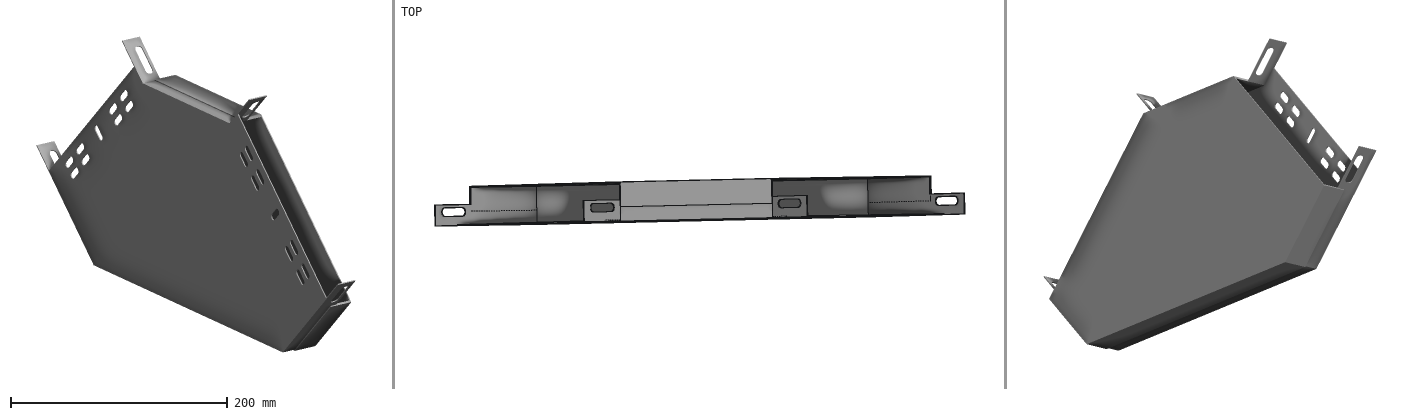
import cadquery as cq
import math

TRAY_WIDTH = 201.0
TIP_SPAN = 490.5
OUTER_LEG = 102.0
TOTAL_DEPTH = 36.5
SHEET = 1.05
BEND_ANGLE = 45.0

TAB_REACH = 27.5
TAB_HEIGHT = 19.5
TAB_SLOT_LENGTH = 30.0
TAB_SLOT_WIDTH = 8.0
TAB_SLOT_FROM_TIP = 23.5
TAB_SLOT_HEIGHT = 13.0

FLOOR_SLOT_LENGTH = 15.5
FLOOR_SLOT_WIDTH = 6.5
FIRST_ROW = 11.5
ROW_PITCH = 12.0
CENTRE_SLOT_ROW = 15.5
INNER_SLOT_OFFSET = 38.5
SLOT_PITCH = 25.5

FLANGE_FRONT = 13.2

TILT_X = -0.4
TILT_Y = -1.6
TILT_Z = 1.3

MITRE = math.tan(math.radians(BEND_ANGLE / 2))
LEG_X = math.cos(math.radians(BEND_ANGLE))
LEG_Z = math.sin(math.radians(BEND_ANGLE))
HALF_STRAIGHT = TIP_SPAN / 2 - (OUTER_LEG + TAB_REACH) * LEG_X
SLOT_ROWS = (FIRST_ROW, FIRST_ROW + ROW_PITCH)
SLOT_OFFSETS = (INNER_SLOT_OFFSET, INNER_SLOT_OFFSET + SLOT_PITCH)
INNER_WALL_FACE = TRAY_WIDTH - SHEET
WALL_HEIGHT = TOTAL_DEPTH - SHEET
COVER_INNER_EDGE = TRAY_WIDTH + SHEET
COVER_SETBACK = OUTER_LEG - COVER_INNER_EDGE * MITRE


def straight(inset):
    """Ends of the middle run on a line set in from the outer wall."""
    half = HALF_STRAIGHT - inset * MITRE
    return [(-half, inset), (half, inset)]


def rail(inset, extension):
    """Line parallel to the outer wall, set in from it, running past the open ends by an extension."""
    leg = OUTER_LEG - inset * MITRE + extension
    left, right = straight(inset)
    left_end = (left[0] - leg * LEG_X, left[1] + leg * LEG_Z)
    right_end = (right[0] + leg * LEG_X, right[1] + leg * LEG_Z)
    return [left_end, left, right, right_end]


def sheet_between(line, other_line, front, back):
    """Flat solid bounded by two lines, between two depths behind the floor's front face."""
    outline = cq.Workplane("XZ", origin=(0, front, 0)).polyline(line + other_line[::-1]).close()
    return outline.extrude(front - back)


def end_plane(side):
    """Frame at the middle of an open end: X runs outward along the leg, Z out through the outer wall."""
    left_end, _, _, right_end = rail(TRAY_WIDTH / 2, 0)
    x, z = right_end if side > 0 else left_end
    return cq.Plane(origin=(x, 0, z), xDir=(side * LEG_X, 0, LEG_Z), normal=(side * LEG_Z, 0, -LEG_X))


def floor_slots(side):
    """Cutters for the slots at one open end: four pairs along it and one across at the middle."""
    end = cq.Workplane(end_plane(side))
    floor = end.transformed(rotate=(90, 0, 0))
    pairs = [(-row, sign * offset) for row in SLOT_ROWS for offset in SLOT_OFFSETS for sign in (-1, 1)]
    along = floor.pushPoints(pairs).slot2D(FLOOR_SLOT_LENGTH, FLOOR_SLOT_WIDTH, 90)
    cutters = along.extrude(SHEET, both=True)
    across = floor.center(-CENTRE_SLOT_ROW, 0).slot2D(FLOOR_SLOT_LENGTH, FLOOR_SLOT_WIDTH)
    return cutters.union(across.extrude(SHEET, both=True))


def tab_slots(side):
    """Cutter for the slots through both tabs at one open end."""
    wall = cq.Workplane(end_plane(side))
    centre = (TAB_REACH - TAB_SLOT_FROM_TIP, -side * TAB_SLOT_HEIGHT)
    return wall.pushPoints([centre]).slot2D(TAB_SLOT_LENGTH, TAB_SLOT_WIDTH).extrude(TRAY_WIDTH, both=True)


def side_walls(extension, height):
    """Outer and inner side walls, running past the open ends by an extension."""
    outer = sheet_between(rail(0, extension), rail(SHEET, extension), 0, height)
    inner = sheet_between(rail(INNER_WALL_FACE, extension), rail(TRAY_WIDTH, extension), 0, height)
    return outer.union(inner)


def covered_walls():
    """Full-height walls, which stand only where the cover is."""
    outer = sheet_between(rail(0, -COVER_SETBACK), rail(SHEET, -COVER_SETBACK), 0, WALL_HEIGHT)
    inner = sheet_between(straight(INNER_WALL_FACE), straight(TRAY_WIDTH), 0, WALL_HEIGHT)
    return outer.union(inner)


def make_tray():
    """Floor with side walls, end tabs and all the fixing slots."""
    floor = sheet_between(rail(0, 0), rail(TRAY_WIDTH, 0), 0, SHEET)
    tray = floor.union(side_walls(TAB_REACH, TAB_HEIGHT)).union(covered_walls())
    for side in (-1, 1):
        tray = tray.cut(floor_slots(side)).cut(tab_slots(side))
    return tray


def make_cover():
    """Back plate with flanges that lap over the outside of the tray walls."""
    outer_edge = rail(-SHEET, -COVER_SETBACK)
    cover = sheet_between(outer_edge, straight(COVER_INNER_EDGE), WALL_HEIGHT, TOTAL_DEPTH)
    outer_flange = sheet_between(outer_edge, rail(0, -COVER_SETBACK), FLANGE_FRONT, TOTAL_DEPTH)
    inner_flange = sheet_between(straight(TRAY_WIDTH), straight(COVER_INNER_EDGE), FLANGE_FRONT, TOTAL_DEPTH)
    return cover.union(outer_flange).union(inner_flange)


def tilt(body):
    """Turn a body about the X, Y and Z axes in turn."""
    origin = (0, 0, 0)
    body = body.rotate(origin, (1, 0, 0), TILT_X)
    body = body.rotate(origin, (0, 1, 0), TILT_Y)
    return body.rotate(origin, (0, 0, 1), TILT_Z)


tray = tilt(make_tray())
cover = tilt(make_cover())
result = cq.Compound.makeCompound([tray.val(), cover.val()])